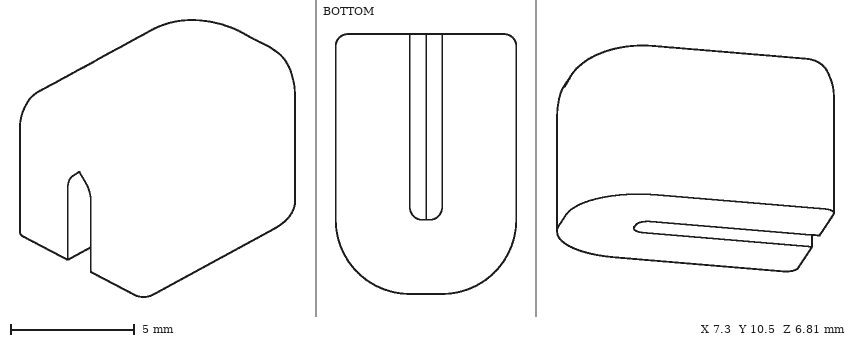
import cadquery as cq

WIDTH = 7.3
LENGTH = 10.5
SHOULDER_HEIGHT = 5.0
REAR_CORNER_RADIUS = 3.0
CROWN_RADIUS = 2.999
FRONT_CORNER_RADIUS = 0.5
BLANK_HEIGHT = SHOULDER_HEIGHT + CROWN_RADIUS

DISH_RADIUS = 10.0
DISH_BOTTOM = 6.525
DISH_RIM_RADIUS = 1.0

SLOT_WIDTH = 1.3
SLOT_TIP_HEIGHT = 4.5
SLOT_DEPTH = LENGTH - REAR_CORNER_RADIUS
SLOT_SHOULDER_RADIUS = 1.0
SLOT_END_RADIUS = 0.5

FRONT_Y = -LENGTH / 2


def make_blank():
    """Block with round rear corners and a crown rounded on all four sides."""
    block = cq.Workplane("XY").box(WIDTH, LENGTH, BLANK_HEIGHT, centered=(True, True, False))
    block = block.edges("|Z and >Y").fillet(REAR_CORNER_RADIUS)
    return block.faces(">Z").edges().fillet(CROWN_RADIUS)


def cut_dish(body):
    """Hollow the top with a cylinder running the full length."""
    cutter = (
        cq.Workplane("XZ")
        .center(0, DISH_BOTTOM + DISH_RADIUS)
        .circle(DISH_RADIUS)
        .extrude(LENGTH, both=True)
    )
    return body.cut(cutter)


def round_rim_and_front_corners(body):
    """Fillet the dish rim and the front corners in one operation.

    The two sets of edges meet at the front corners of the dish. Their radii
    differ, so they are blended together rather than one after the other.
    """
    dish_face = body.faces(cq.selectors.NearestToPointSelector((0, 0, DISH_BOTTOM)))
    front_corners = body.edges("|Z and <Y")
    fillets = cq.occ_impl.shapes.BRepFilletAPI_MakeFillet(body.val().wrapped)
    for edge in dish_face.edges().vals():
        fillets.Add(DISH_RIM_RADIUS, edge.wrapped)
    for edge in front_corners.vals():
        fillets.Add(FRONT_CORNER_RADIUS, edge.wrapped)
    return cq.Workplane(cq.Shape.cast(fillets.Shape()))


def make_slot():
    """Solid that fills the slot, with rounded roof shoulders and a rounded closed end."""
    half_width = SLOT_WIDTH / 2
    roof_start = SLOT_TIP_HEIGHT - half_width
    slot = (
        cq.Workplane("XZ", origin=(0, FRONT_Y, 0))
        .moveTo(-half_width, 0)
        .lineTo(-half_width, roof_start)
        .lineTo(0, SLOT_TIP_HEIGHT)
        .lineTo(half_width, roof_start)
        .lineTo(half_width, 0)
        .close()
        .extrude(-SLOT_DEPTH)
    )
    slot = slot.edges("|Y").edges(">X or <X").edges(">Z").fillet(SLOT_SHOULDER_RADIUS)
    return slot.faces(">Y").edges("not <Z").fillet(SLOT_END_RADIUS)


cap = round_rim_and_front_corners(cut_dish(make_blank()))
result = cap.cut(make_slot())